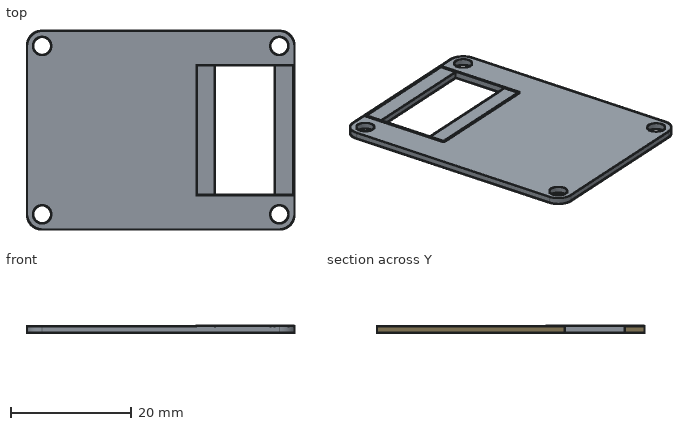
import cadquery as cq

LENGTH = 44.45
WIDTH = 33.03
TOTAL_HEIGHT = 1.25
CORNER_RADIUS = 2.55

HOLE_DIAMETER = 3.0
HOLE_SPACING_X = LENGTH - 2 * CORNER_RADIUS
HOLE_SPACING_Y = WIDTH - 2 * CORNER_RADIUS

FRAME_LEFT = 5.9
FRAME_RIGHT = 22.05
FRAME_LENGTH_Y = 21.7
FRAME_LINE_WIDTH = 0.12
FRAME_RISE = 0.15
PLATE_THICKNESS = TOTAL_HEIGHT - FRAME_RISE

FRAME_INNER_LEFT = FRAME_LEFT + FRAME_LINE_WIDTH
FRAME_INNER_RIGHT = FRAME_RIGHT - FRAME_LINE_WIDTH
FRAME_INNER_LENGTH_Y = FRAME_LENGTH_Y - 2 * FRAME_LINE_WIDTH

WINDOW_LEFT = 9.0
WINDOW_RIGHT = 18.9
WINDOW_LENGTH_Y = FRAME_INNER_LENGTH_Y


def block(left, right, length_y, bottom, top):
    """Block between two X positions and two heights, centred on Y = 0."""
    return (
        cq.Workplane("XY")
        .box(right - left, length_y, top - bottom, centered=(False, True, False))
        .translate((left, 0, bottom))
    )


def plate():
    """Flat board with rounded corners, standing on Z = 0."""
    return (
        cq.Workplane("XY")
        .box(LENGTH, WIDTH, PLATE_THICKNESS, centered=(True, True, False))
        .edges("|Z")
        .fillet(CORNER_RADIUS)
    )


def mounting_holes():
    """Four through holes, one in each corner."""
    return (
        cq.Workplane("XY")
        .rect(HOLE_SPACING_X, HOLE_SPACING_Y, forConstruction=True)
        .vertices()
        .circle(HOLE_DIAMETER / 2)
        .extrude(PLATE_THICKNESS)
    )


def window():
    """Rectangular opening through the plate."""
    return block(WINDOW_LEFT, WINDOW_RIGHT, WINDOW_LENGTH_Y, 0, PLATE_THICKNESS)


def raised_frame():
    """Narrow rectangular ridge on the top face."""
    outer = block(FRAME_LEFT, FRAME_RIGHT, FRAME_LENGTH_Y, PLATE_THICKNESS, TOTAL_HEIGHT)
    inner = block(
        FRAME_INNER_LEFT,
        FRAME_INNER_RIGHT,
        FRAME_INNER_LENGTH_Y,
        PLATE_THICKNESS,
        TOTAL_HEIGHT,
    )
    return outer.cut(inner)


result = plate().cut(mounting_holes()).cut(window()).union(raised_frame())